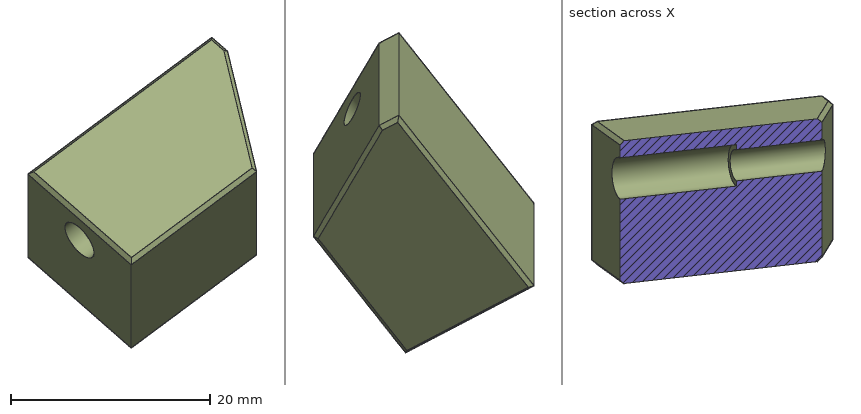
import cadquery as cq

width = 15.33
length = 25.1
height = 15.0
edge_chamfer = 0.43

back_width = 2.35
slant_drop = 7.98

hole_diameter = 3.2
counterbore_diameter = 4.3
counterbore_depth = length / 2
hole_below_top = 3.95


def make_block():
    """Wedge-ended block with its top and bottom rims chamfered."""
    outline = [
        (0, 0),
        (width, 0),
        (width, length - slant_drop),
        (back_width, length),
        (0, length),
    ]
    block = cq.Workplane("XY").polyline(outline).close().extrude(height)
    return block.faces("<Z or >Z").chamfer(edge_chamfer)


def make_bore(diameter, depth):
    """Cylinder running from the front face (Y = 0) toward +Y."""
    return (
        cq.Workplane("XZ")
        .center(width / 2, height - hole_below_top)
        .circle(diameter / 2)
        .extrude(-depth)
    )


through_hole = make_bore(hole_diameter, length)
counterbore = make_bore(counterbore_diameter, counterbore_depth)

result = make_block().cut(through_hole).cut(counterbore)